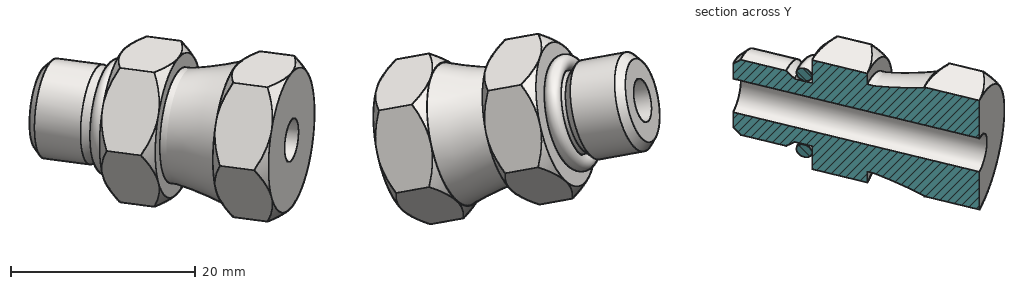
import cadquery as cq
import math

length = 28.45
across_flats = 15.88
across_corners = across_flats / math.cos(math.radians(30))
hex_width = 6.37
bore_radius = 2.4

thread_radius = 5.5
root_radius = 4.6
thread_end = 7.1
lead_in = thread_radius - root_radius
run_out = 0.97

front_hex_start = 9.13
front_hex_end = front_hex_start + hex_width
rear_hex_start = length - hex_width
neck_radius = 6.37
neck_straight = 0.77
flare_radius = 7.88
flare_sag = 0.1

ring_section_radius = 0.925
ring_centre_x = front_hex_start - ring_section_radius
ring_mean_radius = root_radius + ring_section_radius


def make_hexagon(start):
    """Hexagon along X with flats at top and bottom and both ends chamfered at 45 degrees."""
    prism = (
        cq.Workplane("YZ", origin=(start, 0, 0))
        .polygon(6, across_corners)
        .extrude(hex_width)
    )
    face_radius = across_flats / 2
    corner_radius = across_corners / 2
    chamfer = corner_radius - face_radius
    end = start + hex_width
    envelope = (
        cq.Workplane("XY")
        .moveTo(start, 0)
        .lineTo(start, face_radius)
        .lineTo(start + chamfer, corner_radius)
        .lineTo(end - chamfer, corner_radius)
        .lineTo(end, face_radius)
        .lineTo(end, 0)
        .close()
        .revolve(360, (0, 0, 0), (1, 0, 0))
    )
    return prism.intersect(envelope)


def make_threaded_end():
    """Plain thread cylinder with tapered ends, followed by the O-ring groove."""
    return (
        cq.Workplane("XY")
        .lineTo(0, root_radius)
        .lineTo(lead_in, thread_radius)
        .lineTo(thread_end - run_out, thread_radius)
        .lineTo(thread_end, root_radius)
        .lineTo(front_hex_start, root_radius)
        .lineTo(front_hex_start, 0)
        .close()
        .revolve(360, (0, 0, 0), (1, 0, 0))
    )


def make_neck():
    """Short cylinder that flares along a concave arc to the rear hexagon."""
    flare_start = front_hex_end + neck_straight
    return (
        cq.Workplane("XY")
        .moveTo(front_hex_end, 0)
        .lineTo(front_hex_end, neck_radius)
        .lineTo(flare_start, neck_radius)
        .sagittaArc((rear_hex_start, flare_radius), -flare_sag)
        .lineTo(rear_hex_start, 0)
        .close()
        .revolve(360, (0, 0, 0), (1, 0, 0))
    )


def make_fitting():
    """Threaded end, two hexagons and neck in one piece, bored through."""
    bore = cq.Workplane("YZ").circle(bore_radius).extrude(length)
    return (
        make_threaded_end()
        .union(make_hexagon(front_hex_start))
        .union(make_neck())
        .union(make_hexagon(rear_hex_start))
        .cut(bore)
    )


def make_o_ring():
    """Round-section ring around X."""
    return (
        cq.Workplane("XY")
        .center(ring_centre_x, ring_mean_radius)
        .circle(ring_section_radius)
        .revolve(360, (0, -ring_mean_radius, 0), (1, -ring_mean_radius, 0))
    )


fitting = make_fitting()
o_ring = make_o_ring()
result = cq.Compound.makeCompound([fitting.val(), o_ring.val()])